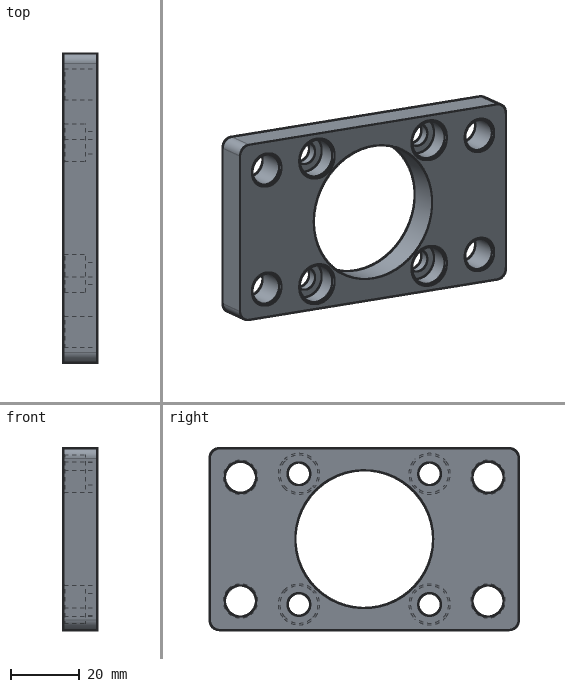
import cadquery as cq

thickness = 10.0
length = 90.0
height = 53.0
corner_radius = 3.0

bore_diameter = 40.0

mount_hole_diameter = 9.0
mount_spacing_y = 72.0
mount_spacing_z = 36.0

screw_hole_diameter = 6.5
counterbore_diameter = 11.0
counterbore_depth = 6.5
screw_spacing = 38.0

rim_chamfer = 0.5


def make_plate():
    """Rectangular plate lying in the YZ plane with its front face at X = 0."""
    plate = cq.Workplane("YZ").rect(length, height).extrude(thickness)
    return plate.edges("|X").fillet(corner_radius)


def cylinders(diameter, depth, spacing_y, spacing_z):
    """Four cylinders on a rectangular pattern, running from the front face in +X."""
    pattern = cq.Workplane("YZ").rect(spacing_y, spacing_z, forConstruction=True).vertices()
    return pattern.circle(diameter / 2).extrude(depth)


def chamfered_cylinders(diameter, depth, spacing_y, spacing_z):
    """Four cylinders whose front ends flare out to cut a chamfered rim."""
    flare = (
        cq.Workplane("YZ")
        .circle(diameter / 2 + rim_chamfer)
        .workplane(offset=rim_chamfer)
        .circle(diameter / 2)
        .loft(ruled=True)
    )
    cutter = cylinders(diameter, depth, spacing_y, spacing_z)
    for side_y in (-1, 1):
        for side_z in (-1, 1):
            cutter = cutter.union(flare.translate((0, side_y * spacing_y / 2, side_z * spacing_z / 2)))
    return cutter


def cut_bore(plate):
    bore = cq.Workplane("YZ").circle(bore_diameter / 2).extrude(thickness)
    return plate.cut(bore)


def cut_mounting_holes(plate):
    return plate.cut(
        chamfered_cylinders(mount_hole_diameter, thickness, mount_spacing_y, mount_spacing_z)
    )


def cut_screw_holes(plate):
    through_holes = cylinders(screw_hole_diameter, thickness, screw_spacing, screw_spacing)
    counterbores = chamfered_cylinders(
        counterbore_diameter, counterbore_depth, screw_spacing, screw_spacing
    )
    return plate.cut(through_holes).cut(counterbores)


result = make_plate()
result = cut_bore(result)
result = cut_mounting_holes(result)
result = cut_screw_holes(result)